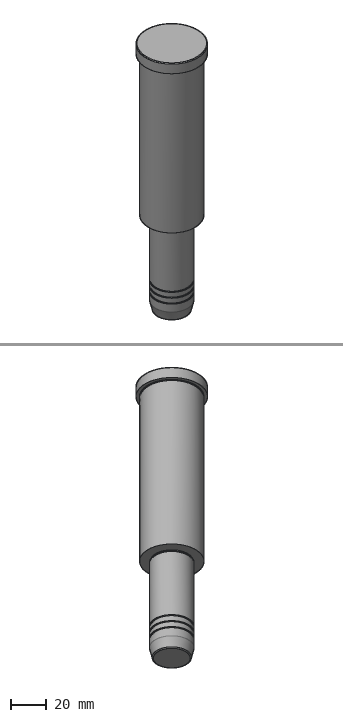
import cadquery as cq

total_length = 180.0
head_height = 7.0
body_bottom = 64.0
shoulder_height = 6.8

head_radius = 20.0
body_radius = 18.0
shank_radius = 25.0 / 2
tip_radius = 11.0

relief_depth = 0.5
head_relief_width = 0.7
body_relief_width = 1.0

groove_count = 3
groove_pitch = 4.0
groove_width = 0.7
groove_depth = 0.5
lowest_groove = 12.2

head_chamfer = 0.5
tip_chamfer = 0.5
tip_setback = 0.7

head_bottom = total_length - head_height


def cylinder(radius, bottom, top):
    return cq.Workplane("XY").workplane(offset=bottom).circle(radius).extrude(top - bottom)


def ring_cut(radius, depth, bottom, width):
    """Ring of material to remove from a cylinder of the given radius."""
    top = bottom + width
    return cylinder(radius + depth, bottom, top).cut(cylinder(radius - depth, bottom, top))


def vee_cut(radius, depth, bottom, width):
    """V-shaped ring of material to remove from a cylinder of the given radius."""
    return (
        cq.Workplane("XZ")
        .moveTo(radius, bottom)
        .lineTo(radius - depth, bottom + width / 2)
        .lineTo(radius, bottom + width)
        .close()
        .revolve(360, (0, 0, 0), (0, 1, 0))
    )


def make_nose():
    """Straight taper from the tip to the shank, with a chamfered tip."""
    return (
        cq.Workplane("XZ")
        .lineTo(tip_radius - tip_setback, 0)
        .lineTo(tip_radius, tip_chamfer)
        .lineTo(shank_radius, shoulder_height)
        .lineTo(0, shoulder_height)
        .close()
        .revolve(360, (0, 0, 0), (0, 1, 0))
    )


head = cylinder(head_radius, head_bottom, total_length).faces(">Z").chamfer(head_chamfer)
body = cylinder(body_radius, body_bottom, head_bottom)
shank = cylinder(shank_radius, shoulder_height, body_bottom)
result = make_nose().union(shank).union(body).union(head)

result = result.cut(vee_cut(body_radius, relief_depth, head_bottom - head_relief_width, head_relief_width))
result = result.cut(ring_cut(shank_radius, relief_depth, body_bottom - body_relief_width, body_relief_width))

for index in range(groove_count):
    groove_bottom = lowest_groove + index * groove_pitch
    result = result.cut(vee_cut(shank_radius, groove_depth, groove_bottom, groove_width))